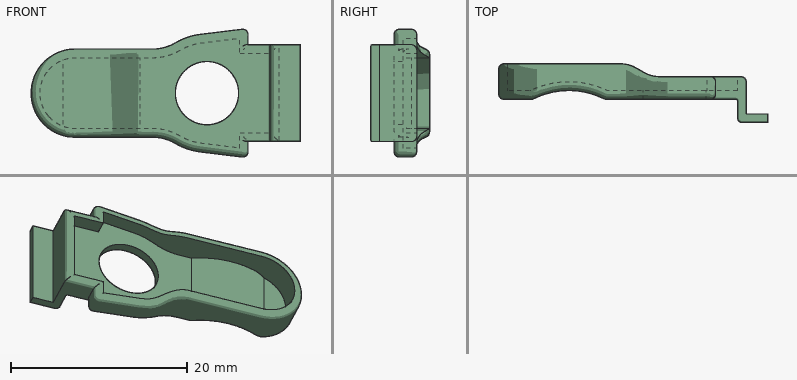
import cadquery as cq
import math

length = 30.6
wall = 1.0
head_depth = 4.07
plate_depth = 2.6
hook_reach = 2.63

head_radius = 5.02
flare_start = 13.83
flare_inner_radius = 5.02
flare_outer_radius = 7.28
flare_angle = math.radians(30.7)
ear_slope = math.radians(7)
ear_end = 24.65

step_start = flare_start
step_end = 18.3
step_angle = math.radians(30)

scoop_x = 8.0
scoop_radius = 9.0
scoop_depth = 1.0

hole_x = 19.98
hole_radius = 3.58

tab_half_height = 5.5
tab_end = 28.15
tab_start = ear_end - 2 * wall

edge_round = 0.65
scoop_edge_round = 0.7
tab_edge_round = 0.18
hook_bend_round = 0.52

margin = 3.05
tolerance = 0.03


def arc_point(center, radius, angle):
    """Point on a circle at an angle measured from the first axis."""
    return (center[0] + radius * math.cos(angle), center[1] + radius * math.sin(angle))


def extrude_back(sketch, start, end):
    """Extrude an XZ sketch from Y = start to Y = end."""
    return sketch.extrude(start - end).translate((0, start, 0))


def lever_outline():
    """Closed XZ outline: round head, S-shaped flares and sloping ears."""
    quarter = math.pi / 2
    inner_center = (flare_start, head_radius + flare_inner_radius)
    flare_mid = arc_point(inner_center, flare_inner_radius, flare_angle - quarter)
    inner_half = arc_point(inner_center, flare_inner_radius, flare_angle / 2 - quarter)
    outer_center = arc_point(flare_mid, flare_outer_radius, flare_angle - quarter)
    flare_end = arc_point(outer_center, flare_outer_radius, ear_slope + quarter)
    outer_half = arc_point(outer_center, flare_outer_radius, (flare_angle + ear_slope) / 2 + quarter)
    ear_tip = (ear_end, flare_end[1] + (ear_end - flare_end[0]) * math.tan(ear_slope))

    def mirrored(point):
        return (point[0], -point[1])

    return (
        cq.Workplane("XZ")
        .moveTo(head_radius, head_radius)
        .lineTo(flare_start, head_radius)
        .threePointArc(inner_half, flare_mid)
        .threePointArc(outer_half, flare_end)
        .lineTo(*ear_tip)
        .lineTo(*mirrored(ear_tip))
        .lineTo(*mirrored(flare_end))
        .threePointArc(mirrored(outer_half), mirrored(flare_mid))
        .threePointArc(mirrored(inner_half), (flare_start, -head_radius))
        .lineTo(head_radius, -head_radius)
        .threePointArc((0, 0), (head_radius, head_radius))
        .close()
    )


def scoop_cutter(radius):
    """Cylinder along Z that hollows the front of the head."""
    center_y = scoop_depth - scoop_radius
    return cq.Workplane("XY").center(scoop_x, center_y).circle(radius).extrude(length, both=True)


def back_step_cutter():
    """Block behind the plate whose head end is two equal arcs meeting a sloping line."""
    drop = head_depth - plate_depth
    run = step_end - step_start
    bend = (run - drop / math.tan(step_angle)) / (2 * math.tan(step_angle / 2))
    top_center = (step_start, head_depth - bend)
    foot_center = (step_end, plate_depth + bend)
    quarter = math.pi / 2
    return (
        cq.Workplane("XY")
        .moveTo(step_start, head_depth)
        .threePointArc(
            arc_point(top_center, bend, quarter - step_angle / 2),
            arc_point(top_center, bend, quarter - step_angle),
        )
        .lineTo(*arc_point(foot_center, bend, -quarter - step_angle))
        .threePointArc(
            arc_point(foot_center, bend, -quarter - step_angle / 2),
            (step_end, plate_depth),
        )
        .lineTo(length, plate_depth)
        .lineTo(length, head_depth + margin)
        .lineTo(step_start, head_depth + margin)
        .close()
        .extrude(length, both=True)
    )


def edges_between(solid, front, back):
    """Edges lying wholly between two Y depths."""
    box = cq.selectors.BoxSelector(
        (-margin, front - tolerance, -length), (length, back + tolerance, length), boundingbox=True
    )
    return solid.edges(box)


def lever_body():
    """Solid lever with rounded ear corners, scoop, back step and rounded rims."""
    body = extrude_back(lever_outline(), 0, head_depth)
    body = body.edges("|Y and >X").fillet(edge_round)
    body = body.cut(back_step_cutter())
    body = edges_between(body, plate_depth, head_depth).edges("not |Z or >X").fillet(edge_round)
    body = body.cut(scoop_cutter(scoop_radius))
    body = edges_between(body, 0, scoop_depth).edges("|Z and (not >X)").fillet(scoop_edge_round)
    return edges_between(body, 0, scoop_depth).edges("not |Z or >X").fillet(edge_round)


def tab_and_hook():
    """Strip behind the ears that turns forward into a riser and ends in a lip."""
    riser_front = tab_end - wall
    lip_back = wall - hook_reach
    strip = (
        cq.Workplane("XY")
        .moveTo(tab_start, 0)
        .lineTo(riser_front, 0)
        .lineTo(riser_front, -hook_reach)
        .lineTo(length, -hook_reach)
        .lineTo(length, lip_back)
        .lineTo(tab_end, lip_back)
        .lineTo(tab_end, plate_depth)
        .lineTo(tab_start, plate_depth)
        .close()
        .extrude(tab_half_height, both=True)
    )
    root = cq.selectors.NearestToPointSelector((riser_front, 0, 0))
    bend = cq.selectors.NearestToPointSelector((riser_front, -hook_reach, 0))
    strip = strip.edges("|Z").edges(root).fillet(tab_edge_round)
    strip = strip.edges("|Z").edges(bend).fillet(hook_bend_round)
    for side in (1, -1):
        edge = cq.selectors.NearestToPointSelector((tab_start, 0, side * tab_half_height))
        strip = strip.edges("|X").edges(edge).fillet(tab_edge_round)
    return strip.edges(">Y").edges("|X or >X").fillet(edge_round)


def cavity():
    """Hollow open to the back that leaves one wall all around and behind the front face."""
    lever = extrude_back(lever_outline().offset2D(-wall), wall, head_depth + margin)
    strip_outline = (
        cq.Workplane("XZ")
        .moveTo((tab_start + tab_end - wall) / 2, 0)
        .rect(tab_end - wall - tab_start, 2 * (tab_half_height - wall))
    )
    strip = extrude_back(strip_outline, wall, head_depth + margin)
    return lever.union(strip).cut(scoop_cutter(scoop_radius + wall))


def pivot_hole():
    """Through hole for the pivot."""
    return extrude_back(cq.Workplane("XZ").center(hole_x, 0).circle(hole_radius), -margin, head_depth)


result = lever_body().union(tab_and_hook()).cut(cavity()).cut(pivot_hole())